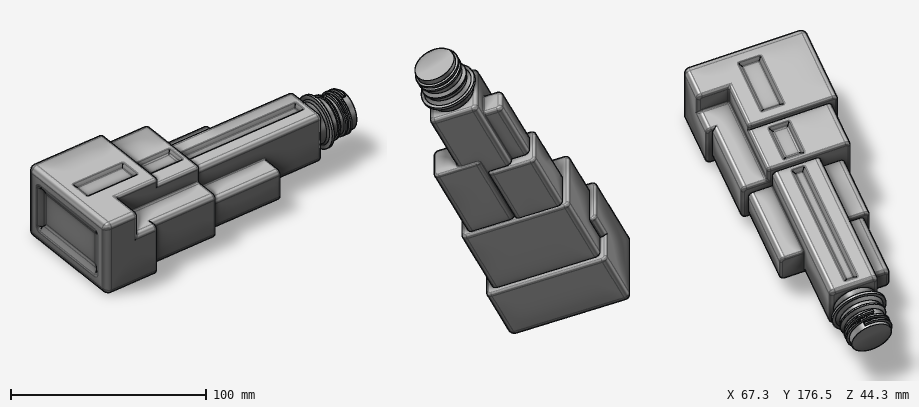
import cadquery as cq
import math


BASE_WIDTH = 67.3
BASE_HEIGHT = 44.3
BASE_TOP_LENGTH = 46.5
BASE_LOW_LENGTH = 32.8
BASE_UNDERCUT_Z = -5.1
BASE_REAR_RADIUS = 1.5
BASE_FACE_RADIUS = 3.5

SECOND_WIDTH = 60.2
SECOND_HEIGHT = 37.0
SECOND_END = 73.0
SECOND_END_RADIUS = 1.6

NOTCH_X = 15.9
NOTCH_Y = 20.3
NOTCH_Z = 8.7
NOTCH_EDGE_RADIUS = 1.8
NOTCH_FOOT_RADIUS = 1.0

SHAFT_WIDTH = 26.5
SHAFT_HEIGHT = 29.7
SHAFT_END = 152.7
SHAFT_END_RADIUS = 2.1

BLOCK_START_Y = 10.6

SIDE_RADIUS = 2.8

SIDE_BLOCKS = [
    (-23.3, (-11.0, 2.8), 143.7, 2.0),
    (-26.5, (-17.0, 5.3), 108.0, 1.5),
    (26.5, (-16.0, 2.8), 116.7, 1.2),
]

SIDE_FOOT_RADIUS = 0.5
SIDE_FOOT_OFFSET = 8.8

FACE_POCKET_SIZE = (52.3, 29.3)
FACE_POCKET_DEPTH = 2.5
FACE_POCKET_SLOPE = 60
FACE_POCKET_CORNER = 2.8
FACE_POCKET_FLOOR_RADIUS = 3.5
FACE_POCKET_RIM_RADIUS = 2.0

TOP_POCKET_DEPTH = 2.0
TOP_POCKET_SLOPE = 45
TOP_POCKET_CORNER = 0.9
TOP_POCKET_RIM_RADIUS = 0.7

TOP_POCKETS = [
    (13.0, (8.1, 40.6), BASE_HEIGHT / 2, 0.5),
    (12.0, (48.5, 70.0), SECOND_HEIGHT / 2, 1.6),
    (7.6, (74.9, 148.5), SHAFT_HEIGHT / 2, 0.5),
]

RIM_MARGIN = 0.09

NECK_END = 176.5
NECK_TIP_RADIUS = 11.0
NECK_ROOT_RADIUS = 11.5
BEAD_RADIUS = 12.5
BEAD_BOTTOM_Y = 163.8
BEAD_TOP_Y = 164.7
BEAD_CONE_END_Y = 166.3
FLANGE_RADIUS = 14.8
FLANGE_FOOT_RADIUS = 12.5
FLANGE_CONE_RADIUS = 13.0
FLANGE_FOOT_Y = 157.0
FLANGE_BOTTOM_Y = 158.0
FLANGE_TOP_Y = 159.5
FLANGE_CONE_END_Y = 161.2

THREAD_RADIUS = 12.2
THREAD_PITCH = 2.8
THREAD_TURNS = 2.1
THREAD_START_Y = 168.5
THREAD_START_ANGLE = -110
THREAD_ROOT_WIDTH = 1.8
THREAD_CREST_WIDTH = 1.0
THREAD_SINK = 0.4


def box(x_range, y_range, z_range):
    """Axis-aligned box between the given limits."""
    (x0, x1), (y0, y1), (z0, z1) = x_range, y_range, z_range
    size = (x1 - x0, y1 - y0, z1 - z0)
    return cq.Workplane("XY").box(*size, centered=False).translate((x0, y0, z0))


def rounded_block(x_range, y_range, z_range, end_radius):
    """Box with rounded edges along Y and a rounded +Y end."""
    block = box(x_range, y_range, z_range).edges("|Y").fillet(SIDE_RADIUS)
    return block.faces(">Y").edges().fillet(end_radius)


def round_edges(body, points, radius):
    """Round the edges of the body that pass through the given points."""
    solid = body.val()
    edges = []
    for point in points:
        target = cq.Vertex.makeVertex(*point)
        edges.append(min(solid.Edges(), key=target.distance))
    return cq.Workplane(solid.fillet(radius, edges))


def upper_block(half_width, end_y, z_range, end_radius):
    """Block beside the notch, with a tighter rounding where its side is the notch wall."""
    block = box((-half_width, NOTCH_X), (BLOCK_START_Y, end_y), z_range)
    block = block.edges("|Y and <X").fillet(SIDE_RADIUS)
    block = block.edges("|Y and >X").fillet(NOTCH_EDGE_RADIUS)
    return block.faces(">Y").edges().fillet(end_radius)


def lower_block(half_width, end_y, bottom_z, end_radius):
    """Full-width block whose top is the notch floor."""
    x_range = (-half_width, half_width)
    return rounded_block(x_range, (BLOCK_START_Y, end_y), (bottom_z, NOTCH_Z), end_radius)


def make_stepped_base():
    """Base and second block with the notch running through both."""
    half_x, half_z = BASE_WIDTH / 2, BASE_HEIGHT / 2
    front = rounded_block((-half_x, half_x), (0, NOTCH_Y), (-half_z, half_z), NOTCH_EDGE_RADIUS)
    front = front.faces("<Y").edges().fillet(BASE_FACE_RADIUS)
    base_upper = upper_block(half_x, BASE_TOP_LENGTH, (BASE_UNDERCUT_Z, half_z), BASE_REAR_RADIUS)
    base_lower = lower_block(half_x, BASE_LOW_LENGTH, -half_z, BASE_REAR_RADIUS)

    half_x, half_z = SECOND_WIDTH / 2, SECOND_HEIGHT / 2
    second_upper = upper_block(half_x, SECOND_END, (BASE_UNDERCUT_Z, half_z), SECOND_END_RADIUS)
    second_lower = lower_block(half_x, SECOND_END, -half_z, SECOND_END_RADIUS)
    stepped = front.union(base_upper).union(base_lower).union(second_lower).union(second_upper)

    feet = [
        (NOTCH_X, BASE_LOW_LENGTH, NOTCH_Z),
        ((NOTCH_X + half_x) / 2, NOTCH_Y, NOTCH_Z),
        (NOTCH_X, NOTCH_Y, (NOTCH_Z + half_z) / 2),
    ]
    return round_edges(stepped, feet, NOTCH_FOOT_RADIUS)


def sink_pocket(body, plane, size, depth, slope, corner, floor_radius, rim_radius):
    """Sink a pocket with sloping walls below the plane, then round its floor and its rim."""
    cutter = cq.Workplane(plane).sketch().rect(*size).vertices().fillet(corner).finalize()
    cutter = cutter.extrude(-depth, taper=slope)
    floor = cq.selectors.DirectionMinMaxSelector(plane.zDir, directionMax=False)
    body = body.cut(cutter.faces(floor).edges().fillet(floor_radius))

    half_width, half_length = size[0] / 2, size[1] / 2
    low = plane.toWorldCoords((-half_width - RIM_MARGIN, -half_length - RIM_MARGIN, -RIM_MARGIN))
    high = plane.toWorldCoords((half_width + RIM_MARGIN, half_length + RIM_MARGIN, RIM_MARGIN))
    rim = cq.selectors.BoxSelector(low.toTuple(), high.toTuple(), boundingbox=True)
    return body.edges(rim).fillet(rim_radius)


def make_neck():
    """Turned neck with a bead, a flange and a two-turn thread."""
    profile = [
        (0, SHAFT_END - SHAFT_END_RADIUS),
        (NECK_ROOT_RADIUS, SHAFT_END - SHAFT_END_RADIUS),
        (NECK_ROOT_RADIUS, FLANGE_FOOT_Y),
        (FLANGE_FOOT_RADIUS, FLANGE_BOTTOM_Y),
        (FLANGE_RADIUS, FLANGE_BOTTOM_Y),
        (FLANGE_RADIUS, FLANGE_TOP_Y),
        (FLANGE_CONE_RADIUS, FLANGE_TOP_Y),
        (NECK_ROOT_RADIUS, FLANGE_CONE_END_Y),
        (NECK_ROOT_RADIUS, BEAD_BOTTOM_Y),
        (BEAD_RADIUS, BEAD_BOTTOM_Y),
        (BEAD_RADIUS, BEAD_TOP_Y),
        (NECK_TIP_RADIUS, BEAD_CONE_END_Y),
        (NECK_TIP_RADIUS, NECK_END),
        (0, NECK_END),
    ]
    neck = cq.Workplane("XY").polyline(profile).close().revolve(360, (0, 0), (0, 1))
    return neck.union(make_thread())


def make_thread():
    """Trapezoidal ridge wound round the Y axis."""
    root = NECK_TIP_RADIUS - THREAD_SINK
    outline = [
        (root, -THREAD_ROOT_WIDTH / 2),
        (THREAD_RADIUS, -THREAD_CREST_WIDTH / 2),
        (THREAD_RADIUS, THREAD_CREST_WIDTH / 2),
        (root, THREAD_ROOT_WIDTH / 2),
    ]
    path = cq.Wire.makeHelix(THREAD_PITCH, THREAD_PITCH * THREAD_TURNS, root)
    thread = cq.Workplane("XZ").polyline(outline).close().sweep(path, isFrenet=True)
    thread = thread.rotate((0, 0, 0), (1, 0, 0), -90)
    thread = thread.rotate((0, 0, 0), (0, 1, 0), THREAD_START_ANGLE)
    return thread.translate((0, THREAD_START_Y, 0))


result = make_stepped_base()
shaft_half_x, shaft_half_z = SHAFT_WIDTH / 2, SHAFT_HEIGHT / 2
result = result.union(
    rounded_block(
        (-shaft_half_x, shaft_half_x),
        (BLOCK_START_Y, SHAFT_END),
        (-shaft_half_z, shaft_half_z),
        SHAFT_END_RADIUS,
    )
)
side_feet = []
for outer_x, z_range, end_y, end_radius in SIDE_BLOCKS:
    side_feet.append((math.copysign(shaft_half_x, outer_x), end_y - SIDE_FOOT_OFFSET, z_range[1]))
    x_range = (min(outer_x, 0), max(outer_x, 0))
    result = result.union(rounded_block(x_range, (BLOCK_START_Y, end_y), z_range, end_radius))

result = round_edges(result, side_feet, SIDE_FOOT_RADIUS)

result = result.union(make_neck())

face_plane = cq.Plane(origin=(0, 0, 0), xDir=(1, 0, 0), normal=(0, -1, 0))
result = sink_pocket(
    result,
    face_plane,
    FACE_POCKET_SIZE,
    FACE_POCKET_DEPTH,
    FACE_POCKET_SLOPE,
    FACE_POCKET_CORNER,
    FACE_POCKET_FLOOR_RADIUS,
    FACE_POCKET_RIM_RADIUS,
)

for width, (start_y, end_y), surface_z, floor_radius in TOP_POCKETS:
    result = sink_pocket(
        result,
        cq.Plane(origin=(0, (start_y + end_y) / 2, surface_z)),
        (width, end_y - start_y),
        TOP_POCKET_DEPTH,
        TOP_POCKET_SLOPE,
        TOP_POCKET_CORNER,
        floor_radius,
        TOP_POCKET_RIM_RADIUS,
    )